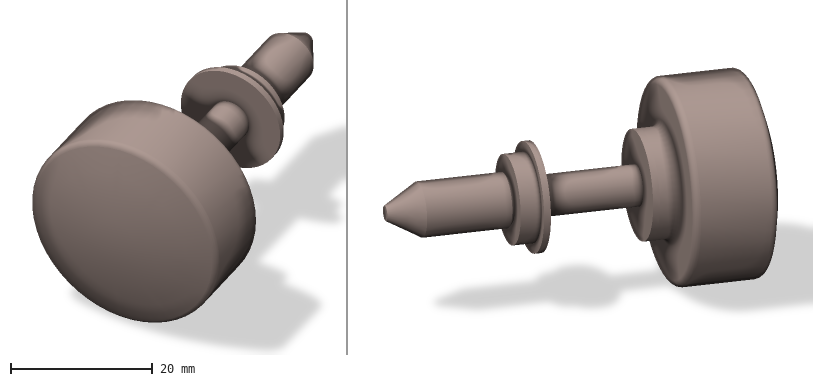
import cadquery as cq
import math


knob_radius = 15.0
knob_depth = 15.0
dome_radius = 40.0
edge_round = 1.0
neck_radius = 8.0
neck_length = 3.0

washer_radius = neck_radius
washer_thickness = 1.0

total_length = 56.0
shank_radius = 3.0
shank_embedment = 10.0
head_radius = 4.0
head_length = 18.0
head_chamfer = 0.5
point_length = 5.0
point_half_angle = math.radians(30)

bush_radius = 6.5
bush_length = 4.0
flange_radius = 8.0
flange_thickness = 1.0

neck_end = knob_depth + neck_length
washer_end = neck_end + washer_thickness
shank_start = neck_end - shank_embedment
head_start = total_length - head_length
bush_start = head_start - bush_length
flange_end = bush_start + flange_thickness
point_start = total_length - point_length


def turn(profile):
    """Revolve a closed half profile, drawn as (radius, Y), about the Y axis."""
    return profile.close().revolve(360, (0, 0, 0), (0, 1, 0))


def shank_hole(start, end):
    """Cylinder that clears the pin shank between two stations."""
    return turn(
        cq.Workplane("XY")
        .moveTo(0, start)
        .lineTo(shank_radius, start)
        .lineTo(shank_radius, end)
        .lineTo(0, end)
    )


def dome_height(radius):
    """Y of the domed front at a given distance from the axis."""
    return dome_radius - math.sqrt(dome_radius**2 - radius**2)


def make_knob():
    """Domed knob with rounded rims, a filleted neck and a blind hole for the shank."""
    rim_center_radius = knob_radius - edge_round
    rim_center_y = dome_radius - math.sqrt((dome_radius - edge_round) ** 2 - rim_center_radius**2)
    rim_inner_radius = rim_center_radius * dome_radius / (dome_radius - edge_round)
    mid_dome_radius = rim_inner_radius / 2
    dome_normal_angle = math.asin(rim_inner_radius / dome_radius)
    rim_mid_angle = (math.pi / 2 - dome_normal_angle) / 2
    rim_mid = (
        rim_center_radius + edge_round * math.cos(rim_mid_angle),
        rim_center_y - edge_round * math.sin(rim_mid_angle),
    )
    blank = turn(
        cq.Workplane("XY")
        .moveTo(0, 0)
        .threePointArc(
            (mid_dome_radius, dome_height(mid_dome_radius)),
            (rim_inner_radius, dome_height(rim_inner_radius)),
        )
        .threePointArc(rim_mid, (knob_radius, rim_center_y))
        .lineTo(knob_radius, knob_depth - edge_round)
        .radiusArc((knob_radius - edge_round, knob_depth), -edge_round)
        .lineTo(neck_radius + edge_round, knob_depth)
        .radiusArc((neck_radius, knob_depth + edge_round), edge_round)
        .lineTo(neck_radius, neck_end)
        .lineTo(0, neck_end)
    )
    return blank.cut(shank_hole(shank_start, neck_end))


def make_washer():
    """Flat washer between the knob neck and the bare shank."""
    blank = turn(
        cq.Workplane("XY")
        .moveTo(0, neck_end)
        .lineTo(washer_radius, neck_end)
        .lineTo(washer_radius, washer_end)
        .lineTo(0, washer_end)
    )
    return blank.cut(shank_hole(neck_end, washer_end))


def make_bush():
    """Flanged bush on the shank, with its flange facing the knob."""
    blank = turn(
        cq.Workplane("XY")
        .moveTo(0, bush_start)
        .lineTo(flange_radius, bush_start)
        .lineTo(flange_radius, flange_end)
        .lineTo(bush_radius, flange_end)
        .lineTo(bush_radius, head_start)
        .lineTo(0, head_start)
    )
    return blank.cut(shank_hole(bush_start, head_start))


def make_pin():
    """Shank with a chamfered head that tapers to a small flat tip."""
    tip_radius = head_radius - point_length * math.tan(point_half_angle)
    return turn(
        cq.Workplane("XY")
        .moveTo(0, shank_start)
        .lineTo(shank_radius, shank_start)
        .lineTo(shank_radius, head_start)
        .lineTo(head_radius - head_chamfer, head_start)
        .lineTo(head_radius, head_start + head_chamfer)
        .lineTo(head_radius, point_start)
        .lineTo(tip_radius, total_length)
        .lineTo(0, total_length)
    )


knob = make_knob()
washer = make_washer()
bush = make_bush()
pin = make_pin()

result = cq.Compound.makeCompound([knob.val(), washer.val(), bush.val(), pin.val()])